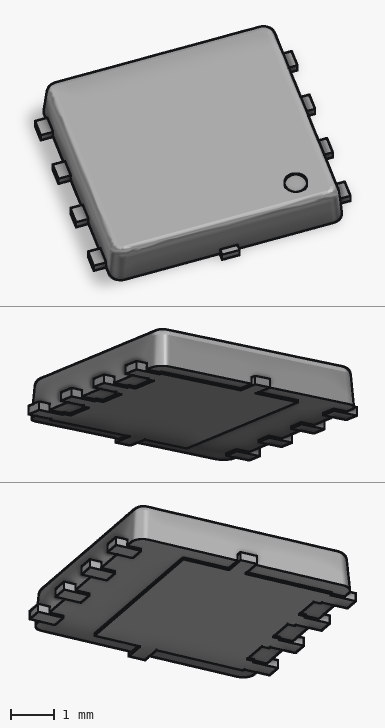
import cadquery as cq
import math

body_length_x = 5.215
body_length_y = 5.58
overall_height = 1.0
standoff = 0.05
draft_angle = 4
corner_radius = 0.29
top_edge_radius = 0.2

metal_thickness = 0.2
lead_width = 0.42
lead_pitch = 1.27
leads_per_side = 4
lead_length = 0.645
lead_span_y = 6.15
side_bar_span_x = 5.5

tongue_width = 0.54
tongue_length = 0.185
pad_back_y = 1.385

dimple_y = 1.83
dimple_radius = 0.26
dimple_depth = 0.05

body_height = overall_height - standoff
lead_inner_y = lead_span_y / 2 - lead_length
last_lead_x = lead_pitch * (leads_per_side - 1) / 2
lead_positions = [i * lead_pitch - last_lead_x for i in range(leads_per_side)]


def metal_plate(width_x, center_x, y_min, y_max):
    """Flat plate resting on z = 0, centred on center_x."""
    length_y = y_max - y_min
    return (
        cq.Workplane("XY")
        .box(width_x, length_y, metal_thickness, centered=(True, False, False))
        .translate((center_x, y_min, 0))
    )


def make_body():
    """Drafted block with rounded corners and a rounded top rim."""
    top_inset = body_height * math.tan(math.radians(draft_angle))
    block = (
        cq.Workplane("XY")
        .workplane(offset=standoff)
        .rect(body_length_x, body_length_y)
        .workplane(offset=body_height)
        .rect(body_length_x - 2 * top_inset, body_length_y - 2 * top_inset)
        .loft(ruled=True)
    )
    sloped_corners = "not(|X or |Y)"
    rounded = block.edges(sloped_corners).fillet(corner_radius)
    return rounded.faces(">Z").edges().fillet(top_edge_radius)


def make_thermal_pad():
    """Pad whose sides line up with the outer tongues, joined to the side bar."""
    pad_width = 2 * last_lead_x + tongue_width
    pad_front_y = -lead_inner_y + tongue_length
    pad = metal_plate(pad_width, 0, pad_front_y, pad_back_y)
    side_bar = metal_plate(side_bar_span_x, 0, -lead_width / 2, lead_width / 2)
    pad = pad.union(side_bar)
    for x in lead_positions:
        pad = pad.union(metal_plate(tongue_width, x, -lead_inner_y, pad_front_y))
    return pad


def make_leads():
    """Rows of leads along the -Y and +Y sides."""
    leads = cq.Workplane("XY")
    for x in lead_positions:
        leads = leads.add(metal_plate(lead_width, x, -lead_span_y / 2, -lead_inner_y))
        leads = leads.add(metal_plate(lead_width, x, lead_inner_y, lead_span_y / 2))
    return leads.combine()


def make_dimple():
    """Shallow cylinder to cut from the top face, in line with the last lead."""
    return (
        cq.Workplane("XY")
        .workplane(offset=overall_height - dimple_depth)
        .center(last_lead_x, dimple_y)
        .circle(dimple_radius)
        .extrude(dimple_depth)
    )


result = make_body().union(make_thermal_pad()).union(make_leads()).cut(make_dimple())